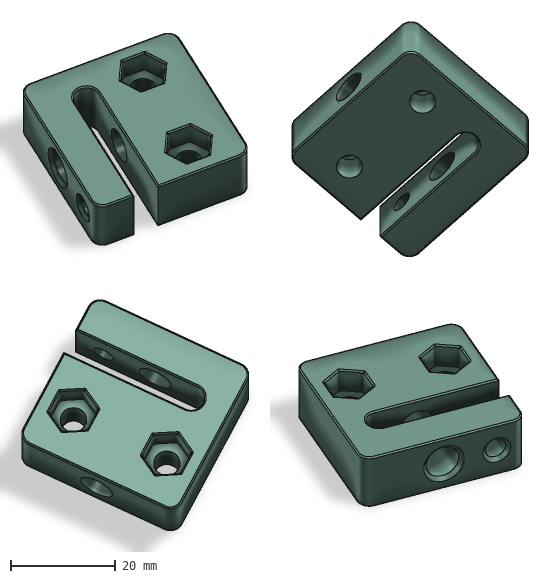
import cadquery as cq

length = 34
width = 33.0
height = 12.0
corner_radius = 2.5
edge_chamfer = 0.3

slot_width = 5.1
slot_y = -6.0
slot_arc_x = -9.0

bolt_spacing = 20.0
bolt_y = 6.5
bolt_diameter = 5.0
nut_across_flats = 8.23
nut_depth = 5.0
nut_corner_radius = 1.02

rod_diameter = 6.8
rod_chamfer = 0.78
screw_diameter = 4.2
screw_chamfer = 0.78
screw_x = 11.0


def slot_prism(z, depth, taper=0):
    """Round-ended slot running out through the +X side; a negative taper widens it along the depth."""
    radius = slot_width / 2
    return (
        cq.Workplane("XY", origin=(0, 0, z))
        .moveTo(length, slot_y + radius)
        .lineTo(slot_arc_x, slot_y + radius)
        .threePointArc((slot_arc_x - radius, slot_y), (slot_arc_x, slot_y - radius))
        .lineTo(length, slot_y - radius)
        .close()
        .extrude(depth, taper=taper)
    )


def nut_pocket(x):
    """Hexagonal pocket with rounded corners pointing along Y and a flared mouth on the top face."""
    center = cq.Workplane("XY", origin=(x, bolt_y, 0)).transformed(rotate=(0, 0, 90))
    across_corners = 2 * nut_across_flats / 3**0.5
    pocket = center.workplane(offset=height - nut_depth).polygon(6, across_corners).extrude(nut_depth)
    pocket = pocket.edges("|Z").fillet(nut_corner_radius)
    mouth = (
        center.workplane(offset=height - edge_chamfer)
        .polygon(6, across_corners)
        .extrude(edge_chamfer, taper=-45)
    )
    return pocket.union(mouth)


def bolt_hole(x):
    """Vertical hole through the whole block."""
    return cq.Workplane("XY", origin=(x, bolt_y, 0)).circle(bolt_diameter / 2).extrude(height)


def front_hole(x, diameter, depth, chamfer):
    """Hole along +Y from the -Y side with a countersunk mouth."""
    face = cq.Workplane("XZ", origin=(x, -width / 2, height / 2))
    bore = face.circle(diameter / 2).extrude(-depth)
    mouth = face.circle(diameter / 2 + chamfer).extrude(-chamfer, taper=45)
    return bore.union(mouth)


block = cq.Workplane("XY").box(length, width, height, centered=(True, True, False))
block = block.edges("|Z").fillet(corner_radius)
block = block.faces("<Z or >Z").chamfer(edge_chamfer)

block = block.cut(slot_prism(0, height))
block = block.cut(slot_prism(height - edge_chamfer, edge_chamfer, taper=-45))
block = block.cut(slot_prism(edge_chamfer, -edge_chamfer, taper=-45))

for bolt_x in (-bolt_spacing / 2, bolt_spacing / 2):
    block = block.cut(nut_pocket(bolt_x)).cut(bolt_hole(bolt_x))

block = block.cut(front_hole(0, rod_diameter, width, rod_chamfer))
screw_depth = slot_y + width / 2
result = block.cut(front_hole(screw_x, screw_diameter, screw_depth, screw_chamfer))